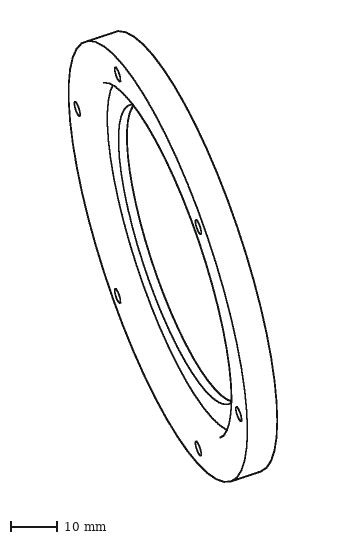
import cadquery as cq

outer_diameter = 100.0
thickness = 7.0
bore_diameter = 68.0

recess_diameter = 80.5
recess_depth = 5.0
mouth_radius = 1.0

hole_diameter = 3.2
bolt_circle_diameter = 90.2
hole_count = 6

back_plane = cq.Workplane("XZ", origin=(0, thickness / 2, 0))


def make_ring():
    """Ring with the recess cut into its front face and the recess mouth rounded."""
    ring = back_plane.circle(outer_diameter / 2).circle(bore_diameter / 2).extrude(thickness)
    recess_floor = back_plane.workplane(offset=thickness - recess_depth)
    recess = recess_floor.circle(recess_diameter / 2).extrude(recess_depth)
    mouth_edge = cq.selectors.RadiusNthSelector(0)
    return ring.cut(recess).faces("<Y").edges(mouth_edge).fillet(mouth_radius)


def make_bolt_holes():
    return (
        back_plane.polarArray(bolt_circle_diameter / 2, 0, 360, hole_count)
        .circle(hole_diameter / 2)
        .extrude(thickness)
    )


result = make_ring().cut(make_bolt_holes())